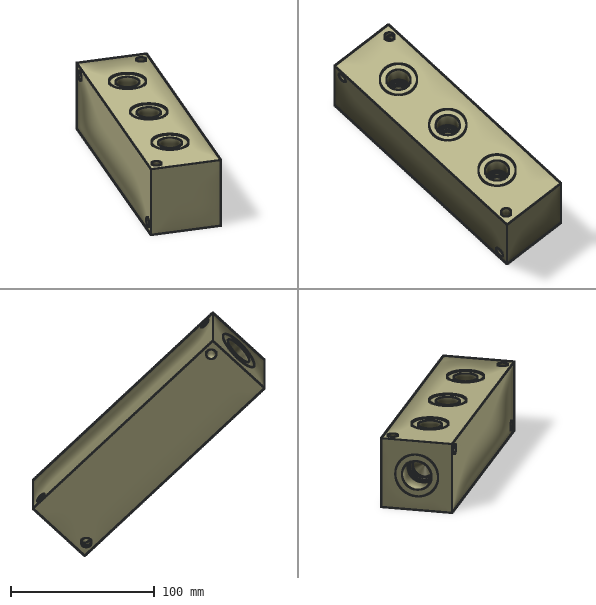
import cadquery as cq
import math

LENGTH = 177.8
WIDTH = 50.8
HEIGHT = 50.8

MOUNT_DIAMETER = 7.14
MOUNT_END_OFFSET = 7.94
MOUNT_EDGE_OFFSET = 6.35

PORT_COUNT = 3
PORT_PITCH = 50.8

DRILL_POINT_ANGLE = 118.0
TOP_PORT = {
    "spotface_diameter": 25.93,
    "spotface_depth": 0.8,
    "thread_diameter": 16.76,
    "thread_depth": 13.0,
    "tap_drill_diameter": 15.06,
    "tap_drill_depth": 15.0,
    "pilot_diameter": 12.29,
    "pilot_depth": 18.0,
}
END_PORT = {
    "spotface_diameter": 30.68,
    "spotface_depth": 0.25,
    "thread_diameter": 21.06,
    "thread_depth": 16.0,
    "tap_drill_diameter": 18.92,
    "tap_drill_depth": 18.0,
    "pilot_diameter": 15.88,
    "pilot_depth": 21.0,
}


def drill_point_height(radius_change):
    """Axial length over which a drill point narrows by the given radius."""
    return radius_change / math.tan(math.radians(DRILL_POINT_ANGLE / 2))


def port_cutter(port):
    """Port cavity that opens at the origin and runs down along -Z."""
    spotface_radius = port["spotface_diameter"] / 2
    thread_radius = port["thread_diameter"] / 2
    tap_radius = port["tap_drill_diameter"] / 2
    pilot_radius = port["pilot_diameter"] / 2
    spotface_floor = -port["spotface_depth"]
    thread_floor = spotface_floor - port["thread_depth"]
    tap_floor = spotface_floor - port["tap_drill_depth"]
    step_floor = tap_floor - drill_point_height(tap_radius - pilot_radius)
    pilot_floor = spotface_floor - port["pilot_depth"]
    drill_tip = pilot_floor - drill_point_height(pilot_radius)
    profile = (
        cq.Workplane("XZ")
        .moveTo(0, 0)
        .lineTo(spotface_radius, 0)
        .lineTo(spotface_radius, spotface_floor)
        .lineTo(thread_radius, spotface_floor)
        .lineTo(thread_radius, thread_floor)
        .lineTo(tap_radius, thread_floor)
        .lineTo(tap_radius, tap_floor)
        .lineTo(pilot_radius, step_floor)
        .lineTo(pilot_radius, pilot_floor)
        .lineTo(0, drill_tip)
        .close()
    )
    return profile.revolve(360, (0, 0, 0), (0, 1, 0))


def cut_top_ports(body):
    """Row of ports in the top face, centred on the block."""
    cutter = port_cutter(TOP_PORT)
    first_x = LENGTH / 2 - PORT_PITCH * (PORT_COUNT - 1) / 2
    for index in range(PORT_COUNT):
        body = body.cut(cutter.translate((first_x + index * PORT_PITCH, WIDTH / 2, HEIGHT)))
    return body


def cut_end_port(body):
    """Larger port in the middle of the -X end face."""
    cutter = port_cutter(END_PORT).rotate((0, 0, 0), (0, 1, 0), -90)
    return body.cut(cutter.translate((0, WIDTH / 2, HEIGHT / 2)))


def cut_mounting_holes(body):
    """One pair of holes through the height and one pair through the width."""
    near_x = MOUNT_END_OFFSET
    far_x = LENGTH - MOUNT_END_OFFSET
    vertical_points = [(near_x, WIDTH - MOUNT_EDGE_OFFSET), (far_x, MOUNT_EDGE_OFFSET)]
    cross_points = [(near_x, HEIGHT - MOUNT_EDGE_OFFSET), (far_x, MOUNT_EDGE_OFFSET)]
    vertical = cq.Workplane("XY").pushPoints(vertical_points).circle(MOUNT_DIAMETER / 2).extrude(HEIGHT)
    cross = cq.Workplane("XZ").pushPoints(cross_points).circle(MOUNT_DIAMETER / 2).extrude(-WIDTH)
    return body.cut(vertical).cut(cross)


block = cq.Workplane("XY").box(LENGTH, WIDTH, HEIGHT, centered=False)
block = cut_top_ports(block)
block = cut_end_port(block)
result = cut_mounting_holes(block)